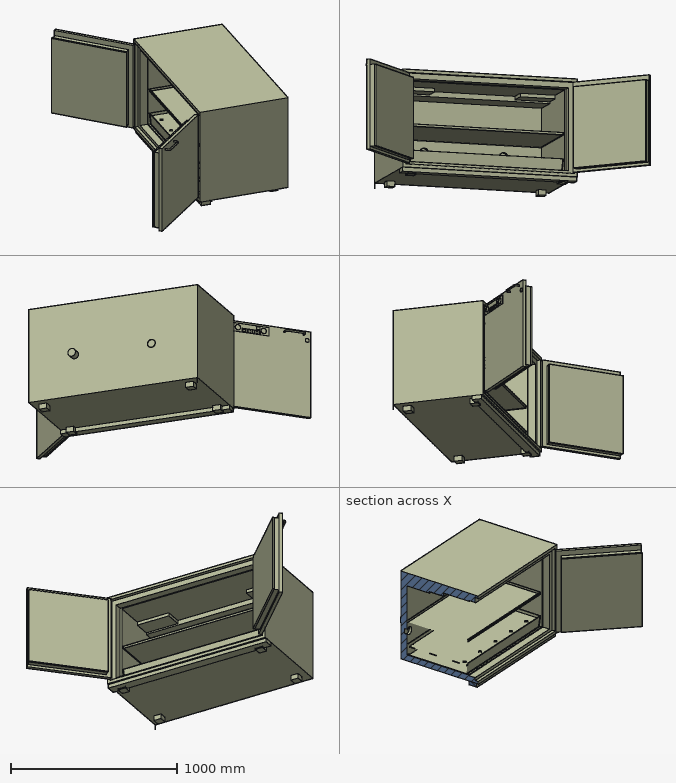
import cadquery as cq
import math


case_width = 1100.0
case_depth = 570.0
case_height = 600.0
rim = 20.0
recess_depth = 21.0
opening_width = 1002.0
opening_bottom = 40.0
opening_top = 545.0
opening_depth = 48.0
liner_step = 5.0
interior_width = 980.0
back_wall = 48.0
interior_front = recess_depth + opening_depth
interior_back = case_depth - back_wall
interior_bottom = opening_bottom + liner_step
interior_top = opening_top - liner_step

duct_depth = 161.0
duct_height = 32.0
block_width = 220.0
block_depth = 107.0
block_height = 21.0

pipe_diameter = 50.0
pipe_length = 46.0
pipe_height = 263.0
cap_thickness = 4.0
port_height = 199.0
port_depth = 18.0
port_x = 250.0

foot_size = 50.0
foot_height = 32.0
foot_x = 478.0
front_foot_y = 73.0
rear_foot_y = 497.0
tab_size = 2.0
plinth_front = 10.0
plinth_depth = 59.0
plinth_height = 25.0

pan_front = 75.0
pan_back_gap = 4.0
pan_width = 973.0
pan_depth = interior_back - pan_back_gap - pan_front
pan_draft = 5.0
sheet = 4.0
shelf_top = 280.0
shelf_height = 16.0
sump_top = 120.0
sump_height = sump_top - interior_bottom
insert_drop = 15.0
insert_thickness = 7.0
insert_gap = 7.0
hole_diameter = 20.0
hole_pitch = 161.0
hole_count = 6
hole_y = 122.0

leaf_length = 519.0
leaf_thickness = 21.0
leaf_bottom = 23.0
leaf_height = 550.0
plug_start = 29.0
plug_length = 486.0
plug_thickness = 30.0
plug_height = 500.0
plug_bottom = opening_bottom
liner_overhang = 4.0
liner_thickness = 10.0
liner_setback = 2.0
left_angle = 45.0
right_angle = 45.8
hinge_x = case_width / 2 - rim
hinge_gap = 4.0

panel_start = 7.0
panel_length = 240.0
panel_bottom = 508.0
panel_height = 54.0
panel_thickness = 2.0
knob_diameter = 34.0
knob_thickness = 2.0
knob_from_end = 35.0
keypad_start = 72.0
keypad_length = 118.0
keypad_height = 25.0
keypad_depth = 0.9
window_start = 165.0
window_length = 21.0
window_bottom = 540.0
window_height = 16.0
button_diameter = 5.0
button_columns = 8
button_rows = 2
lock_diameter = 25.0
lock_along = 495.0
lock_height = 517.0
lock_depth = 2.0

handle_diameter = 10.0
handle_start = 347.0
handle_span = 125.0
handle_reach = 29.0
handle_bend = 15.0
handle_height = 550.0


def block(x_start, x_end, y_start, y_end, z_start, z_end):
    """Box between two opposite corners."""
    size = (x_end - x_start, y_end - y_start, z_end - z_start)
    return cq.Workplane("XY").box(*size, centered=False).translate((x_start, y_start, z_start))


def wide_block(width, y_start, y_end, z_start, z_end):
    """Box centred on x = 0."""
    return block(-width / 2, width / 2, y_start, y_end, z_start, z_end)


def disc(diameter, x, y_start, y_end, z):
    """Cylinder along Y."""
    face = cq.Workplane("XZ", origin=(x, y_start, z)).circle(diameter / 2)
    return face.extrude(y_start - y_end)


def feet():
    """Four square feet below the case."""
    centres = [(x, y) for x in (-foot_x, foot_x) for y in (front_foot_y, rear_foot_y)]
    return cq.Workplane("XY").pushPoints(centres).rect(foot_size, foot_size).extrude(-foot_height)


def make_cabinet():
    case = wide_block(case_width, 0, case_depth, 0, case_height)
    case = case.cut(wide_block(case_width - 2 * rim, 0, recess_depth, rim, case_height - rim))
    case = case.cut(wide_block(opening_width, 0, interior_front, opening_bottom, opening_top))
    case = case.cut(wide_block(interior_width, 0, interior_back, interior_bottom, interior_top))

    duct_front = interior_back - duct_depth
    case = case.union(
        wide_block(interior_width, duct_front, interior_back, interior_top - duct_height, interior_top)
    )
    blocks = wide_block(
        interior_width, duct_front - block_depth, duct_front, interior_top - block_height, interior_top
    ).cut(
        wide_block(interior_width - 2 * block_width, 0, duct_front, 0, interior_top)
    )
    case = case.union(blocks)

    for x in (-port_x, port_x):
        case = case.cut(disc(pipe_diameter, x, interior_back, interior_back + port_depth, port_height))

    case = case.union(disc(pipe_diameter, port_x, case_depth, case_depth + pipe_length, pipe_height))
    case = case.union(disc(pipe_diameter, -port_x, case_depth, case_depth + cap_thickness, pipe_height))

    left = -case_width / 2
    tab = block(left, left + tab_size, case_depth - tab_size, case_depth, -foot_height, 0)
    return case.union(feet()).union(tab)


def make_plinth():
    """Bar under the front edge of the case, notched around the front feet."""
    bar = wide_block(case_width, plinth_front, plinth_front + plinth_depth, -plinth_height, 0)
    return bar.cut(feet())


def tapered_block(width, front, depth, top, height):
    """Block whose four walls lean inwards towards the bottom."""
    outline = cq.Workplane("XY", origin=(0, front + depth / 2, top)).rect(width, depth)
    return outline.extrude(-height, taper=pan_draft)


def make_pan(top, height):
    """Open sheet-metal pan with leaning walls."""
    outside = tapered_block(pan_width, pan_front, pan_depth, top, height)
    inside = tapered_block(
        pan_width - 2 * sheet, pan_front + sheet, pan_depth - 2 * sheet, top, height - sheet
    )
    return outside.cut(inside)


def make_insert():
    """Perforated plate between the sump walls, just below the rim."""
    lean = insert_drop * math.tan(math.radians(pan_draft))
    inset = sheet + lean + insert_gap
    plate = tapered_block(
        pan_width - 2 * inset,
        pan_front + inset,
        pan_depth - 2 * inset,
        sump_top - insert_drop,
        insert_thickness,
    )
    first_x = -hole_pitch * (hole_count - 1) / 2
    centres = [(first_x + i * hole_pitch, hole_y) for i in range(hole_count)]
    holes = cq.Workplane("XY").pushPoints(centres).circle(hole_diameter / 2).extrude(sump_top)
    return plate.cut(holes)



def door_leaf():
    leaf = block(0, leaf_length, -leaf_thickness, 0, leaf_bottom, leaf_bottom + leaf_height)
    plug_back = -leaf_thickness - plug_thickness
    plug_end = plug_start + plug_length
    plug_top = plug_bottom + plug_height
    plug = block(plug_start, plug_end, plug_back, -leaf_thickness, plug_bottom, plug_top)
    liner = block(
        plug_start - liner_overhang,
        plug_end + liner_overhang,
        plug_back - liner_thickness,
        plug_back,
        plug_bottom + liner_setback,
        plug_top - liner_setback,
    )
    return leaf.union(plug).union(liner)


def add_controls(door):
    """Raised control panel with two knobs, a keypad and a window, and a round lock recess."""
    panel_end = panel_start + panel_length
    panel = block(
        panel_start, panel_end, 0, panel_thickness, panel_bottom, panel_bottom + panel_height
    )
    keypad_floor = panel_thickness - keypad_depth
    panel = panel.cut(
        block(
            keypad_start,
            keypad_start + keypad_length,
            keypad_floor,
            panel_thickness,
            panel_bottom,
            panel_bottom + keypad_height,
        )
    )
    panel = panel.cut(
        block(
            window_start,
            window_start + window_length,
            keypad_floor,
            panel_thickness,
            window_bottom,
            window_bottom + window_height,
        )
    )
    for column in range(button_columns):
        for row in range(button_rows):
            x = keypad_start + keypad_length * (column + 0.5) / button_columns
            z = panel_bottom + keypad_height * (row + 0.5) / button_rows
            panel = panel.union(disc(button_diameter, x, keypad_floor, panel_thickness, z))
    knob_z = panel_bottom + panel_height / 2
    for x in (panel_start + knob_from_end, panel_end - knob_from_end):
        panel = panel.union(disc(knob_diameter, x, panel_thickness, panel_thickness + knob_thickness, knob_z))
    lock = disc(lock_diameter, lock_along, -lock_depth, 0, lock_height)
    return door.union(panel).cut(lock)


def make_handle():
    """Round bar bent into a U, standing on the outer face of the door."""
    end = handle_start + handle_span
    bend_offset = handle_bend * (1 - math.sqrt(0.5))
    path = (
        cq.Workplane("XY", origin=(0, 0, handle_height))
        .moveTo(handle_start, 0)
        .lineTo(handle_start, handle_reach - handle_bend)
        .threePointArc(
            (handle_start + bend_offset, handle_reach - bend_offset),
            (handle_start + handle_bend, handle_reach),
        )
        .lineTo(end - handle_bend, handle_reach)
        .threePointArc(
            (end - bend_offset, handle_reach - bend_offset),
            (end, handle_reach - handle_bend),
        )
        .lineTo(end, 0)
    )
    section = cq.Workplane("XZ", origin=(handle_start, 0, handle_height)).circle(handle_diameter / 2)
    return section.sweep(path)


def swing_right(body):
    opened = body.rotate((0, 0, 0), (0, 0, 1), -right_angle)
    return opened.translate((hinge_x, -hinge_gap, 0))


def swing_left(body):
    opened = body.rotate((0, 0, 0), (0, 0, 1), -left_angle)
    return opened.translate((hinge_x, -hinge_gap, 0)).mirror("YZ")


cabinet = make_cabinet()
plinth = make_plinth()
shelf = make_pan(shelf_top, shelf_height)
sump = make_pan(sump_top, sump_height)
insert = make_insert()
left_door = swing_left(add_controls(door_leaf()))
right_door = swing_right(door_leaf())
handles = [swing(make_handle()) for swing in (swing_left, swing_right)]

result = cq.Compound.makeCompound(
    [
        cabinet.val(),
        plinth.val(),
        shelf.val(),
        sump.val(),
        insert.val(),
        left_door.val(),
        right_door.val(),
        *[handle.val() for handle in handles],
    ]
)